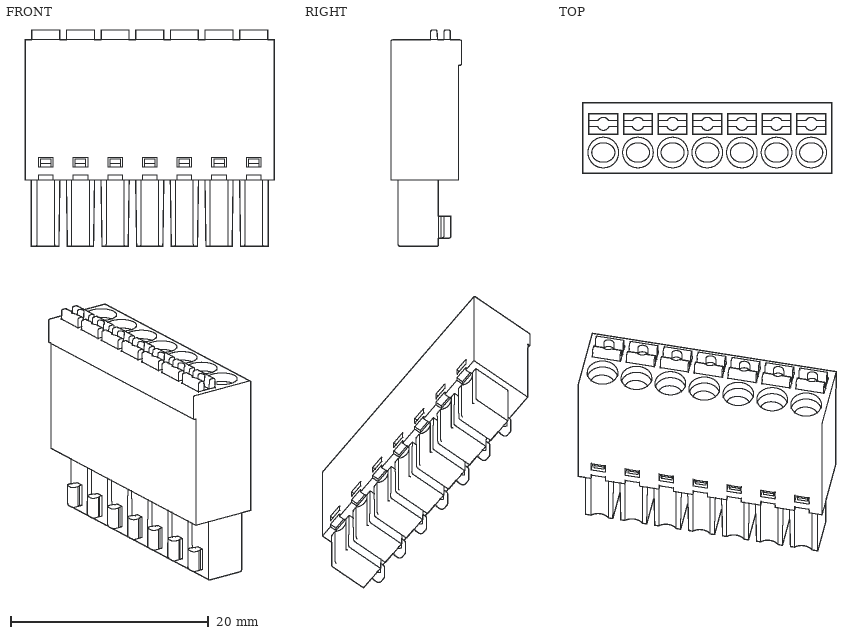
import cadquery as cq


POLES = 7
PITCH = 3.5

WIDTH = 25.2
DEPTH = 7.15
LIP = 0.3
LIP_Z = 18.3
HOUSING_BOTTOM = 6.7
HOUSING_TOP = 20.9
EDGE_RADIUS = 0.2
LIP_RADIUS = 0.18

LEG_FRONT = 0.7
LEG_BACK = 4.81
LEG_ROOT_HALF = 1.44
LEG_TIP_HALF = 1.34
LEG_OUTER_HALF = 1.49
LEG_FRONT_RADIUS = 0.25
LEG_BACK_RADIUS = 0.13
SCALLOP_WIDTH = 1.8
SCALLOP_DEPTH = 0.38

NUB_BOTTOM = 0.8
NUB_TOP = 3.05
NUB_BACK = 6.07
NUB_HALF = 0.55
NECK_HALF = 0.4
NECK_END = 5.1
HEAD_START = 5.37
NUB_RADIUS = 0.35
NUB_BOTTOM_RADIUS = 0.25

OPENING_WIDTH = 1.49
NOTCH_HEIGHT = 0.53
WINDOW_BOTTOM = 8.05
WINDOW_TOP = 9.0
WINDOW_DEPTH = 0.8
LATCH_WIDTH = 1.05
LATCH_SETBACK = 0.35
LATCH_LOW = 8.37
LATCH_HIGH = 8.82

ENTRY_DIAMETER = 3.1
ENTRY_Y = 2.12
ENTRY_STRAIGHT = 0.93
ENTRY_DEPTH = 1.54
WIRE_WIDTH = 2.35
WIRE_BREADTH = 1.97
WIRE_DEPTH = 5.05

BUTTON_TOP = 21.9
BUTTON_WIDTH = 2.85
BUTTON_FRONT = 4.0
BUTTON_BACK = 6.02
PRONG = 0.65
PRONG_DRAFT = 0.08
PRONG_RADIUS = 0.2
BUTTON_HOLE = 1.2
BUTTON_HOLE_LENGTH = 1.3
BUTTON_GAP = 0.05
GAP_DEPTH = 0.38


def box(x0, x1, y0, y1, z0, z1):
    """Block between two opposite corners."""
    return cq.Workplane("XY").box(x1 - x0, y1 - y0, z1 - z0, centered=False).translate((x0, y0, z0))


def housing():
    """Side profile with the rear head lip, extruded across the full width."""
    rear = DEPTH - LIP
    profile = [
        (0, HOUSING_BOTTOM),
        (rear, HOUSING_BOTTOM),
        (rear, LIP_Z),
        (DEPTH, LIP_Z),
        (DEPTH, HOUSING_TOP),
        (0, HOUSING_TOP),
    ]
    body = cq.Workplane("YZ").polyline(profile).close().extrude(WIDTH / 2, both=True)
    body = body.faces(">Z").edges("|X").fillet(EDGE_RADIUS)
    return body.faces(">Y").edges("<Z").fillet(LIP_RADIUS)


def leg(is_first, is_last):
    """Plug leg with a shallow round channel down its front."""
    left_root = LEG_OUTER_HALF if is_first else LEG_ROOT_HALF
    left_tip = LEG_OUTER_HALF if is_first else LEG_TIP_HALF
    right_root = LEG_OUTER_HALF if is_last else LEG_ROOT_HALF
    right_tip = LEG_OUTER_HALF if is_last else LEG_TIP_HALF
    outline = [
        (-left_tip, 0),
        (right_tip, 0),
        (right_root, HOUSING_BOTTOM),
        (-left_root, HOUSING_BOTTOM),
    ]
    body = (
        cq.Workplane("XZ", origin=(0, LEG_FRONT, 0))
        .polyline(outline).close().extrude(LEG_FRONT - LEG_BACK)
    )
    channel = (
        cq.Workplane("XY")
        .moveTo(-SCALLOP_WIDTH / 2, LEG_FRONT)
        .threePointArc((0, LEG_FRONT + SCALLOP_DEPTH), (SCALLOP_WIDTH / 2, LEG_FRONT))
        .close().extrude(HOUSING_BOTTOM)
    )
    body = body.cut(channel)
    body = body.faces("<Z").edges(">Y").fillet(LEG_BACK_RADIUS)
    front_edges = cq.selectors.BoxSelector(
        (-WIDTH, 0, -0.25), (WIDTH, LEG_FRONT + SCALLOP_DEPTH, 0.25), boundingbox=False
    )
    return body.faces("<Z").edges(front_edges).fillet(LEG_FRONT_RADIUS)


def coding_nub():
    """Rounded head carried on a bevelled, narrower neck."""
    right_side = [
        (NECK_HALF, LEG_BACK),
        (NECK_HALF, NECK_END),
        (NUB_HALF, HEAD_START),
        (NUB_HALF, NUB_BACK),
    ]
    left_side = [(-x, y) for x, y in reversed(right_side)]
    nub = (
        cq.Workplane("XY", origin=(0, 0, NUB_BOTTOM))
        .polyline(right_side + left_side).close().extrude(NUB_TOP - NUB_BOTTOM)
    )
    nub = nub.faces(">Y").edges("|Z").fillet(NUB_RADIUS)
    return nub.faces(">Y").edges("<Z").fillet(NUB_BOTTOM_RADIUS)


def front_openings():
    """Notch above the leg and the window with its sloped latch."""
    half = OPENING_WIDTH / 2
    notch = box(-half, half, 0, LEG_FRONT, HOUSING_BOTTOM, HOUSING_BOTTOM + NOTCH_HEIGHT)
    window = box(-half, half, 0, WINDOW_DEPTH, WINDOW_BOTTOM, WINDOW_TOP)
    latch_profile = [
        (LATCH_SETBACK, WINDOW_BOTTOM),
        (WINDOW_DEPTH, WINDOW_BOTTOM),
        (WINDOW_DEPTH, LATCH_HIGH),
        (LATCH_SETBACK, LATCH_LOW),
    ]
    latch = cq.Workplane("YZ").polyline(latch_profile).close().extrude(LATCH_WIDTH / 2, both=True)
    return notch.union(window.cut(latch))


def wire_entry():
    """Round mouth, funnel and elliptical wire hole."""
    mouth = (
        cq.Workplane("XY", origin=(0, ENTRY_Y, HOUSING_TOP))
        .circle(ENTRY_DIAMETER / 2).extrude(-ENTRY_STRAIGHT)
    )
    funnel = (
        cq.Workplane("XY", origin=(0, ENTRY_Y, HOUSING_TOP - ENTRY_STRAIGHT))
        .ellipse(ENTRY_DIAMETER / 2, ENTRY_DIAMETER / 2)
        .workplane(offset=ENTRY_STRAIGHT - ENTRY_DEPTH)
        .ellipse(WIRE_WIDTH / 2, WIRE_BREADTH / 2)
        .loft()
    )
    wire_hole = (
        cq.Workplane("XY", origin=(0, ENTRY_Y, HOUSING_TOP - ENTRY_DEPTH))
        .ellipse(WIRE_WIDTH / 2, WIRE_BREADTH / 2).extrude(ENTRY_DEPTH - WIRE_DEPTH)
    )
    return mouth.union(funnel).union(wire_hole)


def button_gap():
    """Narrow clearance groove around a release button."""
    half = BUTTON_WIDTH / 2
    floor = HOUSING_TOP - GAP_DEPTH
    button = box(-half, half, BUTTON_FRONT, BUTTON_BACK, floor, HOUSING_TOP)
    outer = half + BUTTON_GAP
    pocket = box(-outer, outer, BUTTON_FRONT - BUTTON_GAP, BUTTON_BACK + BUTTON_GAP, floor, HOUSING_TOP)
    return pocket.cut(button)


def button_prongs():
    """Two ribs with rounded tops, hollowed between them for a screwdriver tip."""
    front_profile = [
        (BUTTON_FRONT, HOUSING_TOP),
        (BUTTON_FRONT + PRONG + PRONG_DRAFT, HOUSING_TOP),
        (BUTTON_FRONT + PRONG, BUTTON_TOP),
        (BUTTON_FRONT, BUTTON_TOP),
    ]
    half = BUTTON_WIDTH / 2
    front = cq.Workplane("YZ").polyline(front_profile).close().extrude(half, both=True)
    back = box(-half, half, BUTTON_BACK - PRONG, BUTTON_BACK, HOUSING_TOP, BUTTON_TOP)
    prongs = front.union(back).faces(">Z").edges("|X").fillet(PRONG_RADIUS)
    hole = (
        cq.Workplane("XY", origin=(0, (BUTTON_FRONT + BUTTON_BACK) / 2, HOUSING_TOP))
        .slot2D(BUTTON_HOLE_LENGTH, BUTTON_HOLE, 90).extrude(BUTTON_TOP - HOUSING_TOP)
    )
    return prongs.cut(hole)


result = housing()
for pole in range(POLES):
    place = ((pole - (POLES - 1) / 2) * PITCH, 0, 0)
    for pocket in (front_openings(), wire_entry(), button_gap()):
        result = result.cut(pocket.translate(place))
    for addition in (leg(pole == 0, pole == POLES - 1), coding_nub(), button_prongs()):
        result = result.union(addition.translate(place))